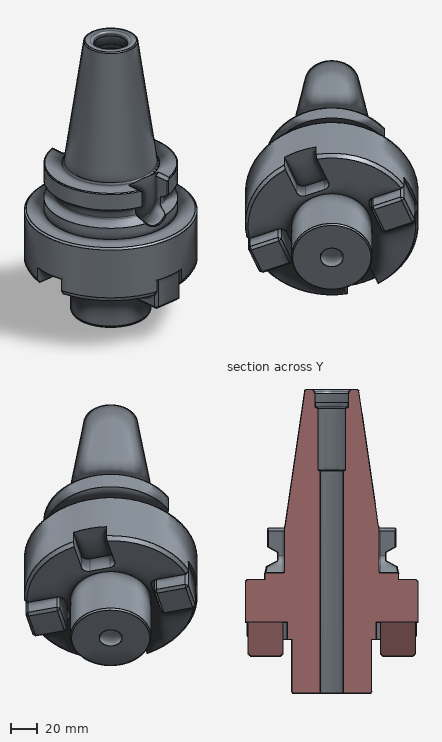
import cadquery as cq
import math


selection_margin = 0.5

pilot_length = 40.0
seat_z = 0.0
head_height = 45.0
gauge_z = 85.0
flange_gap = 1.5
flange_top_z = gauge_z - flange_gap
taper_length = 101.8
nose_z = gauge_z + taper_length

taper_ratio = 7 / 24
gauge_radius = 69.85 / 2
nose_radius = gauge_radius - taper_length * taper_ratio / 2
nose_chamfer = 0.8
flange_radius = 50.0
flange_edge = 0.7
groove_radius = 42.3
groove_fillet = 1.0
groove_slope = math.tan(math.radians(30))
groove_top_z = 69.6
groove_bottom_z = 54.4
groove_middle_radius = (flange_radius + groove_radius) / 2
groove_depth = flange_radius - groove_radius
groove_wall = groove_depth * groove_slope

head_radius = 64.5
head_top_chamfer = 1.4
head_bottom_chamfer_width = 2.0
head_bottom_chamfer_height = 3.4
pilot_radius = 30.0
pilot_chamfer_width = 0.8
pilot_chamfer_height = 1.5

bore_mouth_radius = 15.4
bore_mouth_end_radius = 13.0
bore_mouth_depth = 1.6
bore_mouth_rounding = 2.5
bore_radius = 12.5
bore_neck_depth = 3.0
bore_depth = 9.8
bore_lower_radius = 12.3
bore_lower_depth = 13.1
thread_radius = 10.2
thread_depth = 60.0
through_radius = 8.5
bore_floor_slope = math.tan(math.radians(30))
thread_start_depth = bore_lower_depth + (bore_lower_radius - thread_radius) * bore_floor_slope
through_depth = thread_depth + (thread_radius - through_radius) * bore_floor_slope

drive_half_width = 12.85
drive_back_x = 35.4
drive_bottom_z = 50.0
drive_root_fillet = 0.8
drive_top_chamfer = 2.4
drive_rim_chamfer = 1.1
drive_lower_rim_chamfer = 0.7

key_width = 25.4
key_outer_x = 62.5
key_inner_x = 36.3
key_chamfer = 2.0
key_projection = 12.5
key_slot_depth = 13.0
key_slot_corner = 5.0
key_slot_back_x = key_inner_x + key_chamfer - key_slot_corner


def turned_body():
    body = (
        cq.Workplane("XZ")
        .moveTo(0, -pilot_length)
        .lineTo(pilot_radius - pilot_chamfer_width, -pilot_length)
        .lineTo(pilot_radius, -pilot_length + pilot_chamfer_height)
        .lineTo(pilot_radius, seat_z)
        .lineTo(head_radius - head_bottom_chamfer_width, seat_z)
        .lineTo(head_radius, seat_z + head_bottom_chamfer_height)
        .lineTo(head_radius, head_height - head_top_chamfer)
        .lineTo(head_radius - head_top_chamfer, head_height)
        .lineTo(flange_radius, head_height)
        .lineTo(flange_radius, groove_bottom_z)
        .lineTo(groove_radius, groove_bottom_z + groove_wall)
        .lineTo(groove_radius, groove_top_z - groove_wall)
        .lineTo(flange_radius, groove_top_z)
        .lineTo(flange_radius, flange_top_z - flange_edge)
        .lineTo(flange_radius - flange_edge, flange_top_z)
        .lineTo(gauge_radius + flange_gap, flange_top_z)
        .radiusArc((gauge_radius, gauge_z), flange_gap)
        .lineTo(nose_radius + nose_chamfer * taper_ratio / 2, nose_z - nose_chamfer)
        .lineTo(nose_radius - nose_chamfer, nose_z)
        .lineTo(0, nose_z)
        .close()
        .revolve(360, (0, 0, 0), (0, 1, 0))
    )
    reach = groove_radius + selection_margin
    groove_corners = cq.selectors.BoxSelector(
        (-reach, -reach, groove_bottom_z + selection_margin),
        (reach, reach, groove_top_z - selection_margin),
    )
    return body.edges(groove_corners).edges("%CIRCLE").fillet(groove_fillet)


def drawbar_bore():
    return (
        cq.Workplane("XZ")
        .moveTo(0, nose_z)
        .lineTo(bore_mouth_radius, nose_z)
        .radiusArc((bore_mouth_end_radius, nose_z - bore_mouth_depth), -bore_mouth_rounding)
        .lineTo(bore_radius, nose_z - bore_neck_depth)
        .lineTo(bore_radius, nose_z - bore_depth)
        .lineTo(bore_lower_radius, nose_z - bore_depth)
        .lineTo(bore_lower_radius, nose_z - bore_lower_depth)
        .lineTo(thread_radius, nose_z - thread_start_depth)
        .lineTo(thread_radius, nose_z - thread_depth)
        .lineTo(through_radius, nose_z - through_depth)
        .lineTo(through_radius, -pilot_length)
        .lineTo(0, -pilot_length)
        .close()
        .revolve(360, (0, 0, 0), (0, 1, 0))
    )


def drive_slot():
    """Round-bottomed slot on the +X side, open at the rim and at the flange top."""
    length = head_radius - drive_back_x
    slot = (
        cq.Workplane("YZ", origin=(drive_back_x, 0, 0))
        .moveTo(-drive_half_width, gauge_z)
        .lineTo(-drive_half_width, drive_bottom_z + drive_half_width)
        .threePointArc((0, drive_bottom_z), (drive_half_width, drive_bottom_z + drive_half_width))
        .lineTo(drive_half_width, gauge_z)
        .close()
        .extrude(length)
        .faces("<X").edges("not >Z").fillet(drive_root_fillet)
    )
    chamfer_mouth = (
        cq.Workplane("YZ", origin=(drive_back_x, 0, 0))
        .moveTo(-drive_half_width, flange_top_z - drive_top_chamfer)
        .lineTo(-drive_half_width - drive_top_chamfer, flange_top_z)
        .lineTo(drive_half_width + drive_top_chamfer, flange_top_z)
        .lineTo(drive_half_width, flange_top_z - drive_top_chamfer)
        .close()
        .extrude(length)
    )
    return slot.union(chamfer_mouth)


def key_slot():
    """Radial slot on the +X side, open at the head's rim and seat face."""
    return (
        cq.Workplane("XY")
        .box(head_radius, key_width, key_slot_depth, centered=(False, True, False))
        .translate((key_slot_back_x, 0, seat_z))
        .edges("|Z and <X").fillet(key_slot_corner)
    )


def rotated(shape, angle):
    return shape.rotate((0, 0, 0), (0, 0, 1), angle)


def build_arbor():
    arbor = turned_body().cut(drawbar_bore())
    for angle in (0, 180):
        arbor = arbor.cut(rotated(drive_slot(), angle))
    arbor = chamfer_drive_rims(arbor)
    for angle in (0, 90, 180, 270):
        arbor = arbor.cut(rotated(key_slot(), angle))
    return arbor


def slot_rim_edges(side, half_width, bottom_z, top_z):
    """Selector for slot edges on the flange rim; side is 1 for +X and -1 for -X."""
    return cq.selectors.BoxSelector(
        (side * groove_middle_radius, -half_width, bottom_z),
        (side * head_radius, half_width, top_z),
    )


def chamfer_drive_rims(body):
    """Break the slot edges on the flange rim, above and below the gripper groove."""
    for side in (1, -1):
        upper = slot_rim_edges(side, drive_half_width + selection_margin, groove_top_z, flange_top_z)
        body = body.edges(upper).edges("|Z").chamfer(drive_rim_chamfer)
        lower = slot_rim_edges(side, drive_half_width, drive_bottom_z, groove_bottom_z)
        body = body.edges(lower).chamfer(drive_lower_rim_chamfer)
    return body


def build_key(angle):
    key = (
        cq.Workplane("XY")
        .box(
            key_outer_x - key_inner_x,
            key_width,
            key_slot_depth + key_projection,
            centered=(False, True, False),
        )
        .translate((key_inner_x, 0, -key_projection))
        .edges("|Z or <Z").chamfer(key_chamfer)
    )
    return rotated(key, angle)


arbor = build_arbor()
keys = [build_key(angle) for angle in (0, 180)]

result = cq.Compound.makeCompound([arbor.val(), *[key.val() for key in keys]])